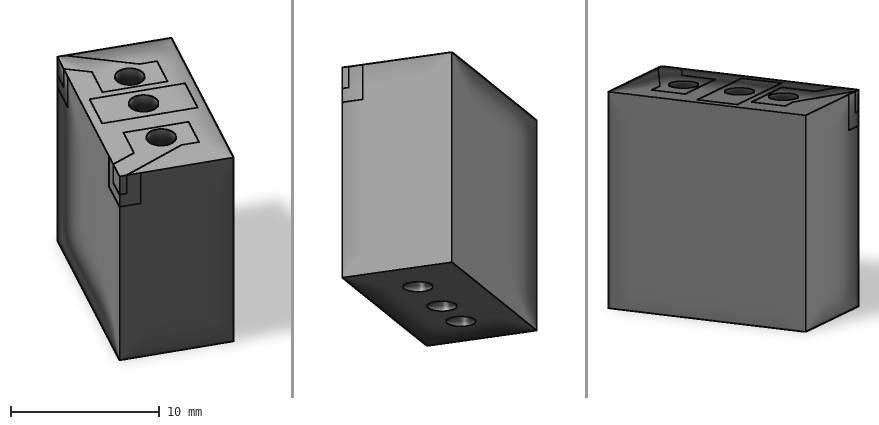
import cadquery as cq

length = 14.8
width = 8.0
height = 15.0
front = -width / 2
side = length / 2

bore_diameter = 2.0
outer_bore_x = 3.75
middle_bore_x = -0.45

coating = 0.003

middle_pad_length = 3.0
middle_pad_width = 6.69

outer_pad_length = 2.5
outer_pad_width = 4.56
lead_shoulder_y = 1.05

terminal_length = 1.5
terminal_width = 0.5
terminal_height = 1.5

window_length = 2.5
window_width = 1.5
window_height = 2.49


def corner_box(size_x, size_y, size_z):
    """Box filling the top, front, +X corner of the block."""
    return (
        cq.Workplane("XY")
        .box(size_x, size_y, size_z, centered=False)
        .translate((side - size_x, front, height - size_z))
    )


def outer_pad():
    """Pad around the +X bore, with its slanted lead to the front corner."""
    inner_x = outer_bore_x - outer_pad_length / 2
    outer_x = outer_bore_x + outer_pad_length / 2
    outline = [
        (inner_x, -outer_pad_width / 2),
        (inner_x, outer_pad_width / 2),
        (outer_x, outer_pad_width / 2),
        (outer_x, lead_shoulder_y),
        (side, front + terminal_width),
        (side, front),
        (side - terminal_length, front),
        (outer_x, -outer_pad_width / 2),
    ]
    base = cq.Workplane("XY", origin=(0, 0, height - coating))
    return base.polyline(outline).close().extrude(coating)


def middle_pad():
    """Rectangular pad around the middle bore."""
    return (
        cq.Workplane("XY", origin=(middle_bore_x, 0, height - coating))
        .rect(middle_pad_length, middle_pad_width)
        .extrude(coating)
    )


def window():
    """Shallow recess in the front and +X sides, around the corner terminal."""
    inner_length = length - 2 * coating
    inner_width = width - 2 * coating
    inside = cq.Workplane("XY").box(inner_length, inner_width, height, centered=(True, True, False))
    terminal = corner_box(terminal_length, terminal_width, terminal_height)
    return corner_box(window_length, window_width, window_height).cut(inside).cut(terminal)


def both_ends(shape):
    """The shape together with its mirror image at the -X end."""
    return shape.union(shape.mirror("YZ"))


block = cq.Workplane("XY").box(length, width, height - coating, centered=(True, True, False))
block = block.union(middle_pad()).union(both_ends(outer_pad()))

bore_centres = [(-outer_bore_x, 0), (middle_bore_x, 0), (outer_bore_x, 0)]
bores = cq.Workplane("XY").pushPoints(bore_centres).circle(bore_diameter / 2).extrude(height)

result = block.cut(both_ends(window())).cut(bores)